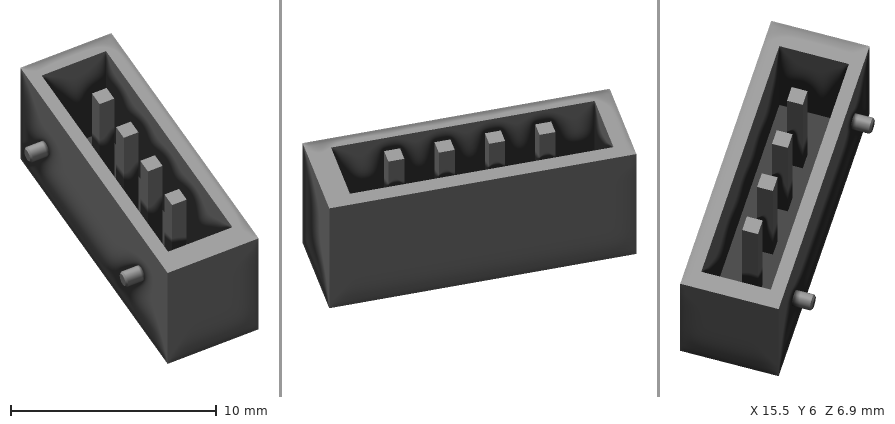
import cadquery as cq

LENGTH = 15.47
DEPTH = 5.0
HEIGHT = 6.45

LEFT_WALL = 0.95
RIGHT_WALL = 1.25
FRONT_WALL = 0.68
BACK_WALL = 0.79
FLOOR = BACK_WALL

CONTACT_COUNT = 4
CONTACT_SIDE = 0.8
CONTACT_PITCH = 2.54
FIRST_CONTACT_X = 3.91
CONTACT_Y = DEPTH / 2
CONTACT_RISE = 0.45

PEG_DIAMETER = 0.8
PEG_LENGTH = 1.0
PEG_CHAMFER = 0.1
PEG_PLACES = [(2.65, 3.22), (12.67, 3.82)]


def block(length, depth, height):
    """Box with its left front bottom corner at the origin."""
    return cq.Workplane("XY").box(length, depth, height, centered=False)


def make_contact(x):
    """Square contact, from the cavity floor to above the rim."""
    contact = block(CONTACT_SIDE, CONTACT_SIDE, HEIGHT + CONTACT_RISE - FLOOR)
    return contact.translate((x - CONTACT_SIDE / 2, CONTACT_Y - CONTACT_SIDE / 2, FLOOR))


def make_housing():
    """Open-topped block with its contacts formed in one piece with it."""
    cavity = block(
        LENGTH - LEFT_WALL - RIGHT_WALL,
        DEPTH - FRONT_WALL - BACK_WALL,
        HEIGHT - FLOOR,
    ).translate((LEFT_WALL, FRONT_WALL, FLOOR))
    body = block(LENGTH, DEPTH, HEIGHT).cut(cavity)
    for index in range(CONTACT_COUNT):
        body = body.union(make_contact(FIRST_CONTACT_X + index * CONTACT_PITCH))
    return body


def make_peg(x, z):
    """Peg seated on the front face, with a chamfered free end."""
    peg = cq.Workplane("XZ").circle(PEG_DIAMETER / 2).extrude(PEG_LENGTH)
    return peg.faces("<Y").chamfer(PEG_CHAMFER).translate((x, 0, z))


housing = make_housing()
pegs = [make_peg(x, z) for x, z in PEG_PLACES]

result = cq.Compound.makeCompound([housing.solids().val(), *[peg.solids().val() for peg in pegs]])